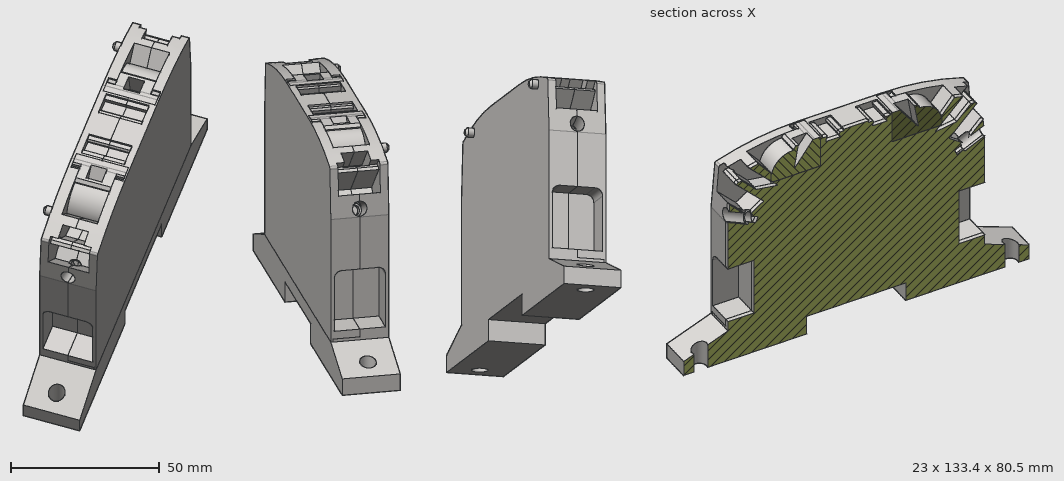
import cadquery as cq
import math

SIDES = (-1, 1)

housing_width = 20.0
half_width = housing_width / 2
half_length = 66.7
height = 80.5

foot_edge_height = 6.0
foot_root_height = 12.5
body_half_length = 49.6
crease_height = 57.0
shoulder_out = 48.2
flat_half_length = 16.1
crown_radius = 100.1
shoulder_fillet = 1.0
rail_half_width = 19.1
rail_height = 7.3

ledge_height = 13.6
skin_inner_x = 9.3

mount_hole_diameter = 5.6
mount_hole_x = -0.4
mount_hole_out = 60.0

pocket_width = 17.6
pocket_bottom = 16.4
pocket_top = 38.2
pocket_corner_radius = 2.7
pocket_depth = 10.0

channel_angle = 45.0
inner_floor_length = 7.7
inner_ceiling_length = 15.3
outer_floor_length = 10.4
outer_ceiling_length = 15.1
outer_channel_half_width = 7.2
inner_channel_half_width = 4.5
mouth_bottom = 65.0
mouth_top_out = 46.3
notch_inner_out = 41.4
bar_inner_out = 44.2
bar_outer_out = 46.6
bar_roof_out = 45.6
bar_roof_height = 73.1
bar_eave_height = 72.3

test_hole_height = 59.9
test_hole_angle = 25.0
test_hole_lead = 4.0
test_hole_diameter = 5.0
test_hole_depth = 9.2
test_bore_diameter = 3.6
test_bore_depth = 12.0

label_half_width = 7.6
label_inner_out = 4.8
label_floor_inner_out = 6.8
label_floor_outer_out = 11.2
label_outer_out = 13.1
label_step_depth = 0.7
label_lip_depth = 1.5
label_lip_bevel = 0.4
label_undercut = 0.5
label_floor_depth = 2.7

lever_x = 0.2
stem_half_width = 6.3
crossbar_half_width = 9.2
crossbar_inner_out = 13.9
crossbar_outer_out = 17.6
crossbar_thickness = 2.7
crossbar_bevel = 0.5
ear_floor_depth = 1.6
ear_edge_depth = 0.7
ear_gap_out = 19.7
step_top_out = 23.4
step_height = 1.1
riser_height = 0.4
drum_radius = 8.5
slot_outer_out = 37.9
slot_slope_drop = 5.7
slot_depth = 12.0
window_half_width = 2.8
window_inner_out = 16.8
window_outer_out = 22.3
window_depth = 9.3
window_undercut = 1.6
window_clearance = 1.3

pin_diameter = 3.2
pin_out = 36.3
pin_height = 75.8
pin_projection = 3.0
pin_socket_depth = 2.7
pin_chamfer = 0.8


def crown_z(out):
    """Height of the crown at a distance out from the centre."""
    beyond = max(out - flat_half_length, 0)
    return height - crown_radius + math.sqrt(crown_radius**2 - beyond**2)


def prism(points, side, x_min, x_max):
    """Extrude a section polygon along X, on the -Y or the +Y side."""
    section = [(side * out, z) for out, z in points]
    return cq.Workplane("YZ").workplane(offset=x_min).polyline(section).close().extrude(x_max - x_min)


def box(x_min, x_max, y_min, y_max, z_min, z_max):
    size = (x_max - x_min, y_max - y_min, z_max - z_min)
    return cq.Workplane("XY").box(*size, centered=False).translate((x_min, y_min, z_min))


run_in = math.cos(math.radians(channel_angle))
run_down = math.sin(math.radians(channel_angle))


def along_channel(out, z, distance):
    return (out - distance * run_in, z - distance * run_down)


def wall_out(z):
    """Distance out of the leaning end wall above the crease."""
    lean = (body_half_length - shoulder_out) / (crown_z(shoulder_out) - crease_height)
    return body_half_length - (z - crease_height) * lean


def housing_blank():
    middle_out = (flat_half_length + shoulder_out) / 2
    blank = (
        cq.Workplane("YZ")
        .workplane(offset=-half_width)
        .moveTo(-half_length, 0)
        .lineTo(-half_length, foot_edge_height)
        .lineTo(-body_half_length, foot_root_height)
        .lineTo(-body_half_length, crease_height)
        .lineTo(-shoulder_out, crown_z(shoulder_out))
        .threePointArc((-middle_out, crown_z(middle_out)), (-flat_half_length, height))
        .lineTo(flat_half_length, height)
        .threePointArc((middle_out, crown_z(middle_out)), (shoulder_out, crown_z(shoulder_out)))
        .lineTo(body_half_length, crease_height)
        .lineTo(body_half_length, foot_root_height)
        .lineTo(half_length, foot_edge_height)
        .lineTo(half_length, 0)
        .lineTo(rail_half_width, 0)
        .lineTo(rail_half_width, rail_height)
        .lineTo(-rail_half_width, rail_height)
        .lineTo(-rail_half_width, 0)
        .close()
        .extrude(housing_width)
    )
    for side in SIDES:
        shoulder = (0, side * shoulder_out, crown_z(shoulder_out))
        blank = blank.edges(cq.selectors.NearestToPointSelector(shoulder)).fillet(shoulder_fillet)
    return blank


def mount_hole(side):
    hole = cq.Workplane("XY").center(mount_hole_x, side * mount_hole_out)
    return hole.circle(mount_hole_diameter / 2).extrude(height)


def cable_pocket(side):
    near, far = sorted((side * (body_half_length - pocket_depth), side * body_half_length))
    pocket = box(-pocket_width / 2, pocket_width / 2, near, far, pocket_bottom, pocket_top)
    return pocket.faces(">Z").edges("|Y").fillet(pocket_corner_radius)


def outer_channel(side):
    """Wide channel entering through the end wall, under the bar."""
    mouth = (wall_out(mouth_bottom), mouth_bottom)
    eave = (bar_outer_out, bar_eave_height)
    lower = [
        mouth,
        along_channel(*mouth, outer_floor_length),
        along_channel(*eave, outer_ceiling_length),
        eave,
        (half_length, bar_eave_height),
        (half_length, mouth_bottom),
    ]
    corner_top = (mouth_top_out, crown_z(mouth_top_out))
    corner_drop = (corner_top[1] - bar_roof_height) / run_down
    upper = [
        eave,
        (bar_roof_out, bar_roof_height),
        along_channel(*corner_top, corner_drop),
        corner_top,
        (mouth_top_out, height),
        (half_length, height),
        (half_length, bar_eave_height),
    ]
    width = outer_channel_half_width
    return prism(lower, side, -width, width).union(prism(upper, side, -width, width))


def inner_channel(side):
    """Narrow channel entering through the crown, behind the bar."""
    top = (notch_inner_out, crown_z(notch_inner_out))
    roof = (bar_inner_out, bar_roof_height)
    section = [
        top,
        along_channel(*top, inner_ceiling_length),
        along_channel(*roof, inner_floor_length),
        roof,
        (bar_roof_out, bar_roof_height),
        (mouth_top_out, crown_z(mouth_top_out)),
        (mouth_top_out, height),
        (notch_inner_out, height),
    ]
    return prism(section, side, -inner_channel_half_width, inner_channel_half_width)


def test_hole(side):
    start = (0, side * wall_out(test_hole_height), test_hole_height)
    tilt = math.radians(test_hole_angle)
    inward = cq.Vector(0, -side * math.cos(tilt), -math.sin(tilt))
    outside = cq.Vector(*start) - inward * test_hole_lead
    hole_length = test_hole_lead + test_hole_depth
    bore_length = test_hole_lead + test_bore_depth
    hole = cq.Solid.makeCylinder(test_hole_diameter / 2, hole_length, outside, inward)
    bore = cq.Solid.makeCylinder(test_bore_diameter / 2, bore_length, outside, inward)
    return cq.Workplane(obj=hole.fuse(bore))


def label_recess(side):
    step_z = height - label_step_depth
    floor_z = height - label_floor_depth
    section = [
        (label_inner_out, height),
        (label_inner_out, step_z),
        (label_floor_inner_out - label_lip_bevel, step_z),
        (label_floor_inner_out, height - label_lip_depth),
        (label_floor_inner_out - label_undercut, floor_z),
        (label_floor_outer_out + label_undercut, floor_z),
        (label_floor_outer_out, step_z),
        (label_outer_out, step_z),
        (label_outer_out, height),
    ]
    return prism(section, side, -label_half_width, label_half_width)


slot_floor = height - slot_depth
slope_foot = crown_z(slot_outer_out) - slot_slope_drop
step_bottom = crown_z(step_top_out) - step_height
drum_top = step_bottom - riser_height
drum_start_out = step_top_out + step_height
drum_end_out = drum_start_out + drum_radius
stem_x = (lever_x - stem_half_width, lever_x + stem_half_width)
crossbar_x = (lever_x - crossbar_half_width, lever_x + crossbar_half_width)
crossbar_bottom = height - crossbar_thickness
bevel_out = crossbar_outer_out + crossbar_bevel


def lever_slot(side):
    stem = [
        (crossbar_inner_out, height),
        (crossbar_inner_out, slot_floor),
        (drum_end_out, slot_floor),
        (drum_end_out, slope_foot),
        (slot_outer_out, crown_z(slot_outer_out)),
        (slot_outer_out, height),
    ]
    ears = [
        (crossbar_inner_out, height),
        (crossbar_inner_out, crossbar_bottom),
        (crossbar_outer_out, crossbar_bottom),
        (bevel_out, height - ear_floor_depth),
        (ear_gap_out, height - ear_edge_depth),
        (ear_gap_out, height),
    ]
    return prism(stem, side, *stem_x).union(prism(ears, side, *crossbar_x))


def lever(side):
    drum_middle = drum_radius * math.cos(math.pi / 4)
    stem = (
        cq.Workplane("YZ")
        .workplane(offset=stem_x[0])
        .moveTo(side * crossbar_inner_out, slot_floor)
        .lineTo(side * crossbar_inner_out, crossbar_bottom)
        .lineTo(side * crossbar_outer_out, crossbar_bottom)
        .lineTo(side * crossbar_outer_out, crown_z(crossbar_outer_out))
        .lineTo(side * step_top_out, crown_z(step_top_out))
        .lineTo(side * drum_start_out, step_bottom)
        .lineTo(side * drum_start_out, drum_top)
        .threePointArc(
            (side * (drum_start_out + drum_middle), drum_top - drum_radius + drum_middle),
            (side * drum_end_out, drum_top - drum_radius),
        )
        .lineTo(side * drum_end_out, slot_floor)
        .close()
        .extrude(2 * stem_half_width)
    )
    crossbar = [
        (crossbar_inner_out, crossbar_bottom),
        (crossbar_inner_out, height),
        (flat_half_length, height),
        (crossbar_outer_out, crown_z(crossbar_outer_out)),
        (bevel_out, crown_z(crossbar_outer_out) - crossbar_bevel),
        (bevel_out, height - ear_floor_depth),
        (crossbar_outer_out, crossbar_bottom),
    ]
    window_top = height + window_clearance
    window = [
        (window_inner_out, window_top),
        (window_inner_out, height),
        (window_outer_out + window_undercut, height - window_depth),
        (window_outer_out, height),
        (window_outer_out, window_top),
    ]
    window_x = (-window_half_width, window_half_width)
    return stem.union(prism(crossbar, side, *crossbar_x)).cut(prism(window, side, *window_x))


def pin(side):
    length = pin_socket_depth + pin_projection
    rod = cq.Workplane("YZ").circle(pin_diameter / 2).extrude(length).faces("<X").chamfer(pin_chamfer)
    return rod.translate((-half_width - pin_projection, side * pin_out, pin_height))


def hollowed_housing():
    """Base and cover in one piece, with every opening and pin socket cut."""
    features = (
        mount_hole,
        cable_pocket,
        outer_channel,
        inner_channel,
        test_hole,
        label_recess,
        lever_slot,
        pin,
    )
    housing = housing_blank()
    for side in SIDES:
        for feature in features:
            housing = housing.cut(feature(side))
    return housing


def cover_space():
    """The +X half above a ledge, with a thin skin hanging outside the ledge."""
    reach = body_half_length
    half = box(0, half_width, -reach, reach, ledge_height, height)
    skin = box(skin_inner_x, half_width, -reach, reach, foot_root_height, height)
    return half.union(skin)


housing = hollowed_housing()
base = housing.cut(cover_space())
cover = housing.intersect(cover_space())
levers = [lever(side) for side in SIDES]
pins = [pin(side) for side in SIDES]

lever_solids = [body.solids().val() for body in levers]
pin_solids = [body.solids().val() for body in pins]
result = cq.Compound.makeCompound(
    [base.solids().val(), cover.solids().val(), *lever_solids, *pin_solids]
)